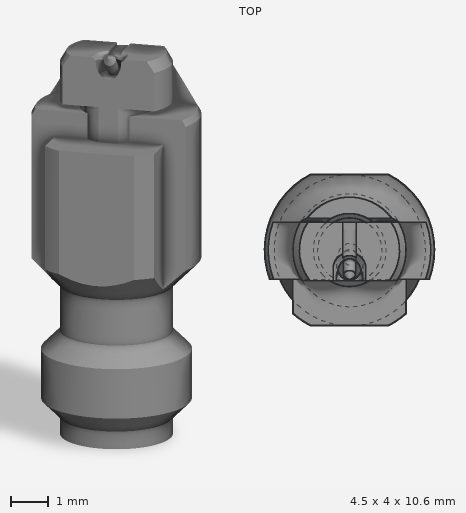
import cadquery as cq
import math

neck_radius = 1.5
collar_diameter = 4.0
collar_radius = collar_diameter / 2
barrel_radius = 2.25
collar_bevel = collar_radius - neck_radius
barrel_bevel = barrel_radius - neck_radius
tail_height = 0.49
collar_start = tail_height + collar_bevel
collar_end = 2.36
neck_start = collar_end + collar_bevel
neck_end = 4.12
barrel_start = neck_end + barrel_bevel
barrel_end = 8.83
crown_radius = 1.4
crown_angle = 30
crown_top = barrel_end + (barrel_radius - crown_radius) / math.tan(math.radians(crown_angle))
flat_offset = collar_radius

cheek_front = -0.77
cheek_top = 9.0
block_half_width = neck_radius
block_top = 8.28
rear_wall = 0.73
wall_bevel_depth = 0.19
bore_radius = 0.97
bore_floor = 7.43

head_front = -0.81
head_radius = neck_radius
head_bottom = 9.2
head_top = 10.56
head_bevel_height = 0.3
head_bevel_width = head_bevel_height * math.tan(math.radians(crown_angle))
stem_radius = 0.85
groove_half_width = 0.18
groove_depth = 0.08

pit_radius = 0.35
pit_floor = 9.97
rim_center = -0.5
rim_radius = 0.44
rim_depth = 0.21
pin_radius = 0.16
pin_point_length = 0.21
pin_length = 1.01
pin_tip_height = 10.61

oversize = 6.37


def box(x_range, y_range, z_range):
    """Block between the given limits along each axis."""
    sizes = [end - start for start, end in (x_range, y_range, z_range)]
    corner = (x_range[0], y_range[0], z_range[0])
    return cq.Workplane("XY").box(*sizes, centered=False).translate(corner)


def cylinder(radius, bottom, top):
    """Upright cylinder on the Z axis."""
    return cq.Workplane("XY").workplane(offset=bottom).circle(radius).extrude(top - bottom)


def turned_body():
    """Revolved tail, collar, neck, barrel and crown, with front and rear flats."""
    profile = [
        (0, 0),
        (neck_radius, 0),
        (neck_radius, tail_height),
        (collar_radius, collar_start),
        (collar_radius, collar_end),
        (neck_radius, neck_start),
        (neck_radius, neck_end),
        (barrel_radius, barrel_start),
        (barrel_radius, barrel_end),
        (crown_radius, crown_top),
        (0, crown_top),
    ]
    body = cq.Workplane("XZ").polyline(profile).close().revolve(360, (0, 0), (0, 1))
    return body.intersect(box((-oversize, oversize), (-flat_offset, flat_offset), (0, crown_top)))


def cut_barrel(body):
    """Cut the barrel down to the rear wall, the two cheeks, the front block and the bore."""
    wall_bevel_width = wall_bevel_depth * math.tan(math.radians(crown_angle))
    step_profile = [
        (-oversize, block_top),
        (cheek_front, block_top),
        (cheek_front, cheek_top),
        (rear_wall, cheek_top),
        (rear_wall, crown_top - wall_bevel_depth),
        (rear_wall + wall_bevel_width, crown_top),
        (-oversize, crown_top),
    ]
    body = body.cut(cq.Workplane("YZ").polyline(step_profile).close().extrude(oversize, both=True))
    for x_range in ((-oversize, -block_half_width), (block_half_width, oversize)):
        body = body.cut(box(x_range, (-oversize, cheek_front), (neck_end, block_top)))
    return body.cut(cylinder(bore_radius, bore_floor, crown_top))


def head_blank():
    """Bevelled round head and stem, flat at the front; the head is also flat at the rear."""
    profile = [
        (0, head_bottom),
        (head_radius, head_bottom),
        (head_radius, head_top - head_bevel_height),
        (head_radius - head_bevel_width, head_top),
        (0, head_top),
    ]
    head = cq.Workplane("XZ").polyline(profile).close().revolve(360, (0, 0), (0, 1))
    head = head.intersect(box((-oversize, oversize), (-oversize, rear_wall), (0, head_top)))
    insert = head.union(cylinder(stem_radius, bore_floor, head_bottom))
    return insert.intersect(box((-oversize, oversize), (head_front, oversize), (0, head_top)))


def pit():
    """Hole sloping 45 degrees down to the rear, ending on a level floor."""
    axis_height = pit_floor + pit_radius * math.sqrt(2)
    pit_plane = cq.Plane((0, head_front, axis_height), (1, 0, 0), (0, -1, 1))
    hole = cq.Workplane(pit_plane).circle(pit_radius).extrude(oversize, both=True)
    return hole.intersect(box((-oversize, oversize), (-oversize, oversize), (pit_floor, head_top)))


def pit_rim():
    """45-degree bevel around the pit: round at the rear, running out past the head's front."""
    run_out = 2 * head_front
    outline = (
        cq.Workplane("XY")
        .workplane(offset=head_top)
        .moveTo(-rim_radius, run_out)
        .lineTo(-rim_radius, rim_center)
        .threePointArc((0, rim_center + rim_radius), (rim_radius, rim_center))
        .lineTo(rim_radius, run_out)
        .close()
    )
    return outline.extrude(-rim_depth, taper=45)


def top_groove():
    """Shallow groove from the pit to the rear of the head."""
    return box(
        (-groove_half_width, groove_half_width),
        (rim_center, oversize),
        (head_top - groove_depth, head_top),
    )


def pin():
    """Pointed pin leaning 45 degrees, its tip at the top of the head's front face."""
    profile = [
        (0, 0),
        (pin_radius, pin_point_length),
        (pin_radius, pin_length),
        (0, pin_length),
    ]
    pin_plane = cq.Plane((0, head_front, pin_tip_height), (1, 0, 0), (0, 1, 1))
    return cq.Workplane(pin_plane).polyline(profile).close().revolve(360, (0, 0), (0, 1))


insert = head_blank().cut(pit()).cut(pit_rim()).cut(top_groove()).union(pin())
result = cut_barrel(turned_body()).union(insert)